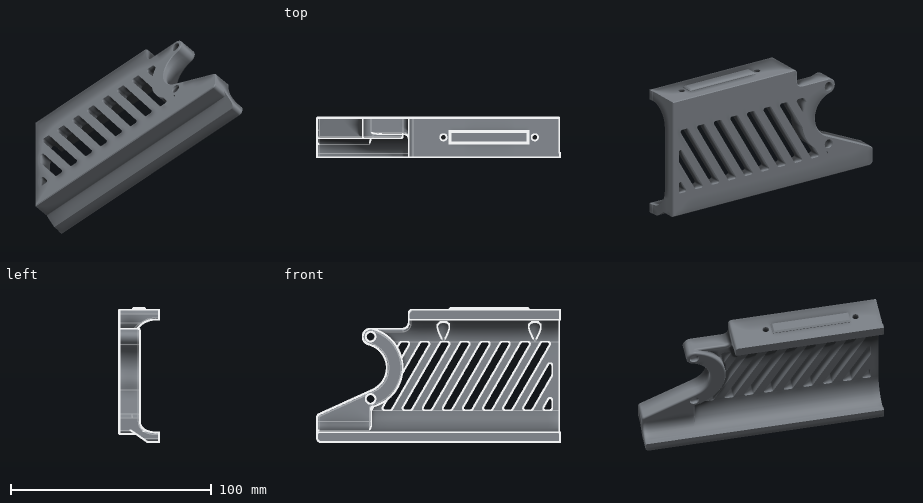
import math

import cadquery as cq

LENGTH = 121.0
DEPTH = 20.0
TOP_Z = 66.0
LIP_EXTENSION = 0.3
LIP_EXTENSION_DEPTH = 2.4
BODY_LENGTH = LENGTH - LIP_EXTENSION

LIP_FLAT = 2.0
COVE_RADIUS = 11.0
WEB_FACE_Y = LIP_FLAT + COVE_RADIUS
LOWER_LIP_Z = 4.9
UPPER_LIP_Z = 60.9
LOWER_COVE_Z = LOWER_LIP_Z + COVE_RADIUS
UPPER_COVE_Z = UPPER_LIP_Z - COVE_RADIUS
FOOT_DEPTH = 5.8
REAR_BOTTOM_Y = 11.5
REAR_BOTTOM_Z = 4.0

ARM_CENTER = (22.7, 37.0)
ARM_RADIUS = 16.0
EYE_RADIUS = 4.0
EYE_X_OFFSET = 4.0
EYE_Z_OFFSET = math.sqrt(ARM_RADIUS**2 - EYE_X_OFFSET**2)
EYE_X = ARM_CENTER[0] + EYE_X_OFFSET
UPPER_EYE = (EYE_X, ARM_CENTER[1] + EYE_Z_OFFSET)
LOWER_EYE = (EYE_X, ARM_CENTER[1] - EYE_Z_OFFSET)
EYE_HOLE_DIAMETER = 4.7
ARM_INNER_RADIUS = ARM_RADIUS - EYE_RADIUS
ARM_OUTER_RADIUS = ARM_RADIUS + EYE_RADIUS
ARM_FACE_Y = 9.5

TOE_SLOPE = math.radians(24.4)
TOE_END_X = 27.0
TOE_COVE_RADIUS = 5.0
TOE_INNER_CORNER_RADIUS = 1.0
SHELF_Z = UPPER_EYE[1] + EYE_RADIUS
STEP_X = 45.6
STEP_FILLET = 3.0
CORNER_FILLET = 2.0
FRONT_FILLET = 1.0
REAR_CHAMFER = 0.4

SLOT_PITCH = 10.0
SLOT_WIDTH_X = 5.1
SLOT_ANGLE = math.radians(60)
SLOT_COUNT = 10
FIRST_SLOT_X = 34.3
SLOT_RIGHT_LIMIT = 117.0
SLOT_CORNER_RADIUS = 1.0

KEY_CENTER = (85.7, 10.0)
KEY_LENGTH = 39.6
KEY_WIDTH = 6.4
KEY_HEIGHT = 1.0
KEY_CHAMFER = 0.8
SCREW_SPACING = 45.5
SCREW_DIAMETER = 3.2
SCREW_HEAD_DIAMETER = 6.0
SCREW_SEAT_Z = 60.0


def extrude_y(outline, front, back):
    """Extrude an XZ outline from Y = front to Y = back."""
    return outline.extrude(-(back - front)).translate((0, front, 0))


def arm_point(radius, angle):
    """XZ point at a polar position about the arm centre."""
    return (ARM_CENTER[0] + radius * math.cos(angle), ARM_CENTER[1] + radius * math.sin(angle))


EYE_ANGLE = math.atan2(EYE_Z_OFFSET, EYE_X_OFFSET)
TANGENT_POINT = arm_point(ARM_INNER_RADIUS, TOE_SLOPE - math.pi / 2)
TOE_TIP_Z = TANGENT_POINT[1] - TANGENT_POINT[0] * math.tan(TOE_SLOPE)


def edge_along_y(x, z):
    """Selector for the edge that runs along Y through the given XZ point."""
    reach = 0.1
    return cq.selectors.BoxSelector(
        (x - reach, -DEPTH, z - reach),
        (x + reach, 2 * DEPTH, z + reach),
    )


def channel_profile():
    """C-shaped cross-section: two lips joined to the web by quarter-round coves."""
    diagonal = math.sqrt(0.5) * COVE_RADIUS
    return (
        cq.Workplane("YZ")
        .moveTo(0, 0)
        .lineTo(FOOT_DEPTH, 0)
        .lineTo(REAR_BOTTOM_Y, REAR_BOTTOM_Z)
        .lineTo(DEPTH, REAR_BOTTOM_Z)
        .lineTo(DEPTH, TOP_Z)
        .lineTo(0, TOP_Z)
        .lineTo(0, UPPER_LIP_Z)
        .lineTo(LIP_FLAT, UPPER_LIP_Z)
        .threePointArc((LIP_FLAT + diagonal, UPPER_COVE_Z + diagonal), (WEB_FACE_Y, UPPER_COVE_Z))
        .lineTo(WEB_FACE_Y, LOWER_COVE_Z)
        .threePointArc((LIP_FLAT + diagonal, LOWER_COVE_Z - diagonal), (LIP_FLAT, LOWER_LIP_Z))
        .lineTo(0, LOWER_LIP_Z)
        .close()
    )


def trace_inner_edge(workplane):
    """Up the toe tip, along its slope and around the inside of the arm to the upper eye."""
    return (
        workplane.lineTo(0, TOE_TIP_Z)
        .lineTo(*TANGENT_POINT)
        .threePointArc(arm_point(ARM_INNER_RADIUS, 0), arm_point(ARM_INNER_RADIUS, EYE_ANGLE))
    )


def side_silhouette():
    """Overall XZ shape of the body, used to trim the channel."""
    outline = (
        trace_inner_edge(cq.Workplane("XZ"))
        .threePointArc((UPPER_EYE[0] - EYE_RADIUS, UPPER_EYE[1]), (UPPER_EYE[0], SHELF_Z))
        .lineTo(STEP_X, SHELF_Z)
        .lineTo(STEP_X, TOP_Z)
        .lineTo(BODY_LENGTH, TOP_Z)
        .lineTo(BODY_LENGTH, 0)
        .close()
    )
    solid = extrude_y(outline, 0, DEPTH)
    solid = solid.edges(edge_along_y(STEP_X, SHELF_Z)).fillet(STEP_FILLET)
    solid = solid.edges(edge_along_y(STEP_X, TOP_Z)).fillet(CORNER_FILLET)
    solid = solid.edges(edge_along_y(0, TOE_TIP_Z)).fillet(CORNER_FILLET)
    return solid.edges(edge_along_y(0, 0)).fillet(CORNER_FILLET)


def web_slot(index):
    """One leaning slot, clipped at the right end of the web, with rounded corners."""
    height = UPPER_COVE_Z - LOWER_COVE_Z
    lean = height / math.tan(SLOT_ANGLE)
    left = FIRST_SLOT_X + index * SLOT_PITCH - (lean + SLOT_WIDTH_X) / 2
    outline = (
        cq.Workplane("XZ")
        .moveTo(left, LOWER_COVE_Z)
        .lineTo(left + SLOT_WIDTH_X, LOWER_COVE_Z)
        .lineTo(left + lean + SLOT_WIDTH_X, UPPER_COVE_Z)
        .lineTo(left + lean, UPPER_COVE_Z)
        .close()
    )
    window = cq.Workplane("XY").box(SLOT_RIGHT_LIMIT, DEPTH, TOP_Z, centered=False)
    slot = extrude_y(outline, 0, DEPTH).intersect(window)
    return slot.edges("|Y").fillet(SLOT_CORNER_RADIUS)


def arm_section():
    """Cross-section of the arm and toe: a flat face blending into the lower cove."""
    blend_y = ARM_FACE_Y - TOE_COVE_RADIUS
    center_gap = COVE_RADIUS - TOE_COVE_RADIUS
    drop = math.sqrt(center_gap**2 - (blend_y - LIP_FLAT) ** 2)
    blend_z = LOWER_COVE_Z - drop
    end_angle = math.atan2(-drop, blend_y - LIP_FLAT)
    mid_angle = end_angle / 2

    def blend_point(angle):
        return (
            blend_y + TOE_COVE_RADIUS * math.cos(angle),
            blend_z + TOE_COVE_RADIUS * math.sin(angle),
        )

    return (
        cq.Workplane("YZ")
        .moveTo(DEPTH, TOP_Z)
        .lineTo(ARM_FACE_Y, TOP_Z)
        .lineTo(ARM_FACE_Y, blend_z)
        .threePointArc(blend_point(mid_angle), blend_point(end_angle))
        .lineTo(REAR_BOTTOM_Y, REAR_BOTTOM_Z)
        .lineTo(DEPTH, REAR_BOTTOM_Z)
        .close()
    )


def arm():
    """Raised crescent between the screw eyes, joined to the toe below it."""
    eye_end = (
        UPPER_EYE[0] - EYE_RADIUS * math.sin(EYE_ANGLE),
        UPPER_EYE[1] + EYE_RADIUS * math.cos(EYE_ANGLE),
    )
    toe_top_z = ARM_CENTER[1] - math.sqrt(ARM_OUTER_RADIUS**2 - (TOE_END_X - ARM_CENTER[0]) ** 2)
    outline = (
        trace_inner_edge(cq.Workplane("XZ"))
        .threePointArc(eye_end, arm_point(ARM_OUTER_RADIUS, EYE_ANGLE))
        .threePointArc(arm_point(ARM_OUTER_RADIUS, 0), (TOE_END_X, toe_top_z))
        .lineTo(TOE_END_X, 0)
        .close()
    )
    crescent = extrude_y(outline, 0, DEPTH)
    crescent = crescent.edges(edge_along_y(0, TOE_TIP_Z)).fillet(CORNER_FILLET)
    crescent = crescent.edges(edge_along_y(TOE_END_X, toe_top_z)).fillet(TOE_INNER_CORNER_RADIUS)
    solid = arm_section().extrude(ARM_CENTER[0] + ARM_OUTER_RADIUS).intersect(crescent)
    front_rim = solid.faces("<Y").edges("not |X")
    return front_rim.fillet(FRONT_FILLET)



def channel_body():
    """Trimmed channel with its front-left edge rounded and its web slotted."""
    solid = channel_profile().extrude(BODY_LENGTH).intersect(side_silhouette())
    front_edge = cq.NearestToPointSelector((0, LIP_FLAT / 2, LOWER_LIP_Z))
    solid = solid.edges(front_edge).fillet(FRONT_FILLET)
    for index in range(SLOT_COUNT):
        solid = solid.cut(web_slot(index))
    return solid


def lip_extension(bottom_z, top_z):
    """Small step that carries the front of a lip past the right end of the web."""
    block = cq.Workplane("XY").box(LIP_EXTENSION, LIP_EXTENSION_DEPTH, top_z - bottom_z, centered=False)
    return block.translate((BODY_LENGTH, 0, bottom_z))


def locating_key():
    """Raised bar with bevelled edges on the top face."""
    block = cq.Workplane("XY", origin=(*KEY_CENTER, TOP_Z)).rect(KEY_LENGTH, KEY_WIDTH).extrude(KEY_HEIGHT)
    return block.edges(">Z").chamfer(KEY_CHAMFER)


def screw_hole(x):
    """Screw clearance hole with a head recess that opens into the channel."""
    plane = cq.Workplane("XY", origin=(x, KEY_CENTER[1], UPPER_COVE_Z))
    shank = plane.circle(SCREW_DIAMETER / 2).extrude(TOP_Z - UPPER_COVE_Z)
    head = plane.circle(SCREW_HEAD_DIAMETER / 2).extrude(SCREW_SEAT_Z - UPPER_COVE_Z)
    return shank.union(head)


def eye_hole(x, z):
    """Through hole along Y in a screw eye of the arm."""
    return extrude_y(cq.Workplane("XZ").center(x, z).circle(EYE_HOLE_DIAMETER / 2), 0, DEPTH)


part = channel_body().union(arm())

rear_toe_edge = cq.NearestToPointSelector((0, (REAR_BOTTOM_Y + DEPTH) / 2, REAR_BOTTOM_Z))
part = part.edges(rear_toe_edge).fillet(CORNER_FILLET)

rear_outline = part.faces(">Y").wires(cq.selectors.LengthNthSelector(-1)).edges()
part = part.newObject(rear_outline.vals()).chamfer(REAR_CHAMFER)

part = part.union(lip_extension(0, LOWER_LIP_Z))
part = part.union(lip_extension(UPPER_LIP_Z, TOP_Z))
part = part.union(locating_key())

for side in (-1, 1):
    part = part.cut(screw_hole(KEY_CENTER[0] + side * SCREW_SPACING / 2))

for eye in (UPPER_EYE, LOWER_EYE):
    part = part.cut(eye_hole(*eye))

result = part